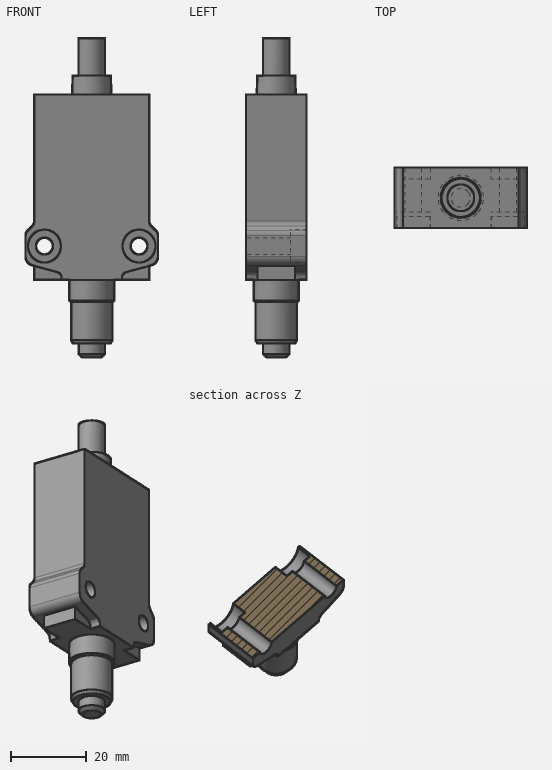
import cadquery as cq
import math

body_width = 30.4
body_depth = 16.0
body_bottom = 20.5
body_top = 69.5

ear_span = 35.0
ear_chamfer_low = 33.0
ear_slope_angle = 15.0
ear_slope_z_at_body = 24.2
ear_upper_radius = 1.85
ear_lower_radius = 2.4
relief_inner_radius = 1.7
relief_inner_x = 7.9
tongue_depth = 9.95

hole_x = 12.5
hole_z = 29.4
hole_diameter = 4.4
counterbore_diameter = 8.7
counterbore_depth = 4.2

sleeve_diameter = 12.0
sleeve_chamfer_top = 15.1
sleeve_chamfer_bottom = 14.7
barrel_diameter = 11.0
barrel_chamfer_top = 4.6
barrel_bottom = 3.7
barrel_chamfer_width = 0.5
plunger_diameter = 7.0
plunger_tip_diameter = 5.0
plunger_tip_height = 1.0

collar_base_diameter = 10.45
collar_top_diameter = 10.1
collar_top = 74.4
cable_diameter = 7.1
cable_top = 84.3

half_body = body_width / 2
half_ear = ear_span / 2
ear_chamfer_high = ear_chamfer_low + half_ear - half_body


def slope_z(x):
    """Height of the sloping underside of an ear at distance x from the centre."""
    return ear_slope_z_at_body + (x - half_body) * math.tan(math.radians(ear_slope_angle))


def centred_prism(points, depth):
    """Extrude an XZ outline symmetrically about the XZ plane."""
    return cq.Workplane("XZ").polyline(points).close().extrude(depth / 2, both=True)


def round_edges(solid, x, z, radius):
    """Round the edges along Y that pass through (+x, z) and (-x, z)."""
    reach = 0.1
    for side_x in (x, -x):
        corner = cq.selectors.BoxSelector(
            (side_x - reach, -body_depth, z - reach),
            (side_x + reach, body_depth, z + reach),
        )
        solid = solid.edges("|Y").edges(corner).fillet(radius)
    return solid


def make_housing():
    right_outline = [
        (relief_inner_x, body_bottom),
        (relief_inner_x, slope_z(relief_inner_x)),
        (half_ear, slope_z(half_ear)),
        (half_ear, ear_chamfer_low),
        (half_body, ear_chamfer_high),
        (half_body, body_top),
    ]
    left_outline = [(-x, z) for x, z in reversed(right_outline)]
    housing = centred_prism(right_outline + left_outline, body_depth)
    housing = round_edges(housing, relief_inner_x, slope_z(relief_inner_x), relief_inner_radius)
    housing = round_edges(housing, half_ear, slope_z(half_ear), ear_lower_radius)
    housing = round_edges(housing, half_ear, ear_chamfer_low, ear_upper_radius)
    housing = round_edges(housing, half_body, ear_chamfer_high, ear_upper_radius)

    tongue_height = hole_z - body_bottom
    tongue = (
        cq.Workplane("XY", origin=(0, 0, body_bottom))
        .rect(body_width, tongue_depth)
        .extrude(tongue_height)
    )
    return housing.union(tongue)


def cut_mounting_holes(housing):
    return (
        housing.faces("<Y")
        .workplane(origin=(0, -body_depth / 2, 0))
        .pushPoints([(-hole_x, hole_z), (hole_x, hole_z)])
        .cboreHole(hole_diameter, counterbore_diameter, counterbore_depth)
    )


def revolve_about_z(profile):
    """Turn a (radius, z) profile around the Z axis, closing it on the axis."""
    points = [(0, profile[0][1])] + profile + [(0, profile[-1][1])]
    return cq.Workplane("XZ").polyline(points).close().revolve(360, (0, 0), (0, 1))


def make_plunger():
    barrel_radius = barrel_diameter / 2
    return revolve_about_z([
        (plunger_tip_diameter / 2, 0),
        (plunger_diameter / 2, plunger_tip_height),
        (plunger_diameter / 2, barrel_bottom),
        (barrel_radius - barrel_chamfer_width, barrel_bottom),
        (barrel_radius, barrel_chamfer_top),
        (barrel_radius, sleeve_chamfer_bottom),
        (sleeve_diameter / 2, sleeve_chamfer_top),
        (sleeve_diameter / 2, body_bottom),
    ])


def make_cable_outlet():
    return revolve_about_z([
        (collar_base_diameter / 2, body_top),
        (collar_top_diameter / 2, collar_top),
        (cable_diameter / 2, collar_top),
        (cable_diameter / 2, cable_top),
    ])


housing = cut_mounting_holes(make_housing())
result = housing.union(make_plunger()).union(make_cable_outlet())